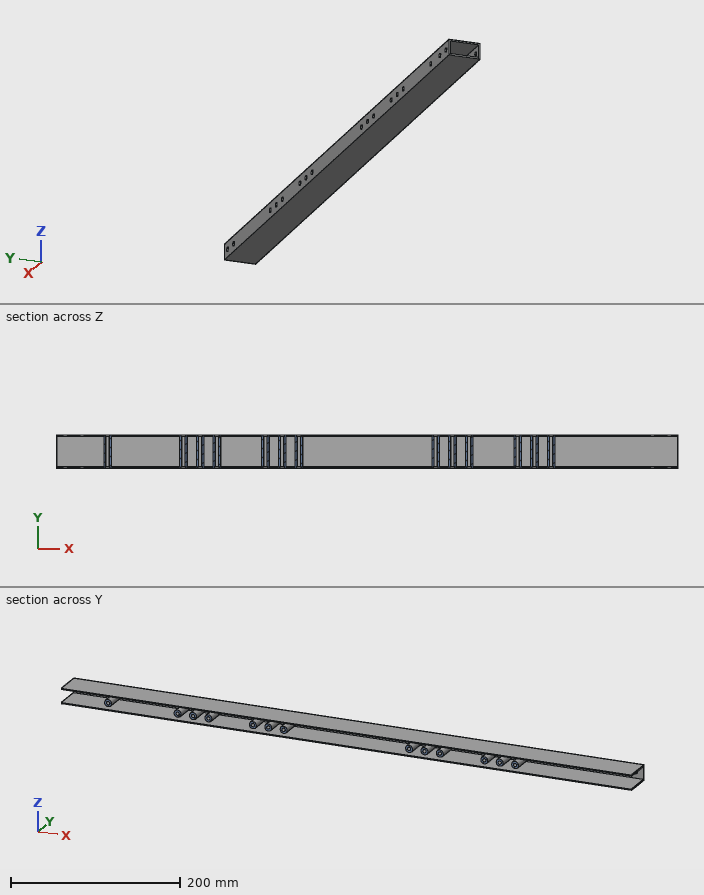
import cadquery as cq

LENGTH = 735.0
WIDTH = 40.0
HEIGHT = 20.0
WALL = 2.0

WALL_HOLE_DIAMETER = 5.0
END_HOLE_INSET = 10.0
HOLE_PITCH = 20.0

SLEEVE_DIAMETER = 9.5
BORE_DIAMETER = 4.0
SINGLE_SLEEVE_INSET = 60.0
GROUP_CENTRES = (101.0, 198.0)


def cross_cylinders(positions, diameter, length):
    """Cylinders along Y, centred on the tube axis at the given X positions."""
    return (
        cq.Workplane("XZ", origin=(0, length / 2, 0))
        .pushPoints([(x, 0) for x in positions])
        .circle(diameter / 2)
        .extrude(length)
    )


end_holes = []
for side in (-1, 1):
    for step in (0, 1):
        end_holes.append(side * (LENGTH / 2 - END_HOLE_INSET - step * HOLE_PITCH))

sleeves = [SINGLE_SLEEVE_INSET - LENGTH / 2]
for side in (-1, 1):
    for centre in GROUP_CENTRES:
        for step in (-1, 0, 1):
            sleeves.append(side * centre + step * HOLE_PITCH)

inner_width = WIDTH - 2 * WALL
tube = cq.Workplane("XY").box(LENGTH, WIDTH, HEIGHT)
cavity = cq.Workplane("XY").box(LENGTH, inner_width, HEIGHT - 2 * WALL)
tube = tube.cut(cavity)
tube = tube.cut(cross_cylinders(end_holes + sleeves, WALL_HOLE_DIAMETER, WIDTH))

sleeve_bodies = cross_cylinders(sleeves, SLEEVE_DIAMETER, inner_width)
sleeve_bodies = sleeve_bodies.cut(cross_cylinders(sleeves, BORE_DIAMETER, inner_width))
result = tube.union(sleeve_bodies)